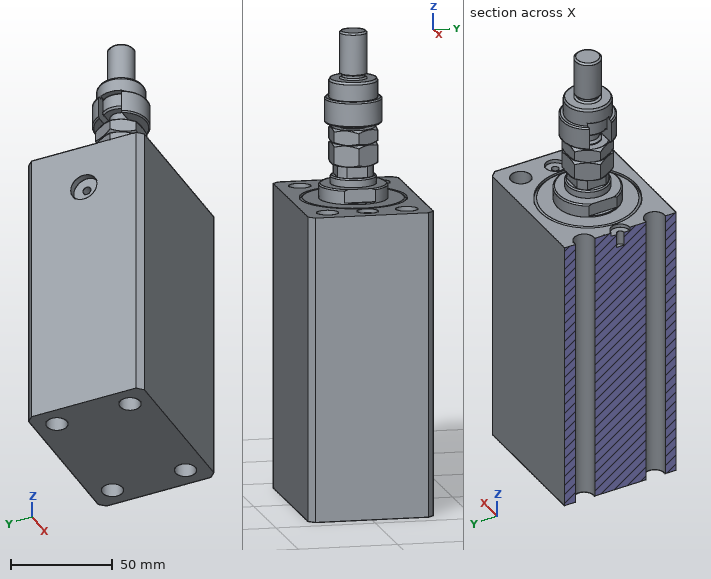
import cadquery as cq
import math

block_x = 85.0
block_y = 63.0
block_top = 153.0
corner_chamfer = 3.0

mount_hole_radius = 5.5
mount_hole_x = 31.5
mount_hole_y = 20.0

gland_groove_radius = 26.5
gland_groove_width = 1.5
gland_groove_depth = 1.5

vent_x = 32.5
vent_spotface_radius = 5.2
vent_spotface_depth = 2.0
vent_hole_radius = 2.0
vent_hole_depth = 9.5

port_z = 129.0
port_radius = 7.0
port_depth = 3.5
port_hole_radius = 2.1
port_hole_depth = 9.5

rod_radius = 17.0
rod_top = 160.5
rod_flat_half = 15.2
rod_foot_height = 0.7
rod_flat_bottom = block_top + rod_foot_height
collar_radius = 11.4
collar_top = 164.7
neck_square_half = 9.0
neck_corner_radius = 10.5
edge_chamfer = 0.7

hex_across_flats = 22.0
hex_face_radius = 10.7
hex_sides = 6
hex_chamfer_angle = 30
hex_bottom = 170.5
hex_height = 11.0
lock_nut_height = 7.5
hex_top = hex_bottom + hex_height
lock_nut_top = hex_top + lock_nut_height

thread_radius = 6.9
relief_radius = 5.7

pin_thread_top = 190.5
head_bottom = 196.2
head_top = 205.2
head_radius = 10.2
head_chamfer = 1.0

ring_bottom = 191.0
ring_top = 203.8
ring_radius = 14.2
cap_top = 213.3
cap_radius = 12.0
cap_chamfer_height = 1.2
slot_width = 12.3
relief_height = 2.5
relief_cone_height = 0.7
stud_chamfer = 1.0
total_height = 237.0


def cylinder(radius, bottom, top):
    """Upright cylinder on the Z axis."""
    return cq.Workplane("XY").workplane(offset=bottom).circle(radius).extrude(top - bottom)


def revolved(profile):
    """Turn a closed outline of (radius, height) points about the Z axis."""
    return cq.Workplane("XZ").polyline(profile).close().revolve(360, (0, 0), (0, 1))


def hexagon(bottom, top):
    """Hexagon with corners on the X axis and conical chamfers at both ends."""
    corner_diameter = hex_across_flats / math.cos(math.pi / hex_sides)
    corner_radius = corner_diameter / 2
    drop = (corner_radius - hex_face_radius) * math.tan(math.radians(hex_chamfer_angle))
    prism = (
        cq.Workplane("XY")
        .workplane(offset=bottom)
        .polygon(hex_sides, corner_diameter)
        .extrude(top - bottom)
    )
    envelope = revolved([
        (0, bottom),
        (hex_face_radius, bottom),
        (corner_radius, bottom + drop),
        (corner_radius, top - drop),
        (hex_face_radius, top),
        (0, top),
    ])
    return prism.intersect(envelope)


def make_housing():
    block = cq.Workplane("XY").rect(block_x, block_y).extrude(block_top)
    block = block.edges("|Z").chamfer(corner_chamfer)

    mount_holes = (
        cq.Workplane("XY")
        .rect(2 * mount_hole_x, 2 * mount_hole_y, forConstruction=True)
        .vertices()
        .circle(mount_hole_radius)
        .extrude(block_top)
    )
    block = block.cut(mount_holes)

    groove = revolved([
        (gland_groove_radius - gland_groove_width, block_top),
        (gland_groove_radius, block_top),
        (gland_groove_radius, block_top - gland_groove_depth),
    ])
    block = block.cut(groove)

    for x in (-vent_x, vent_x):
        spotface = cylinder(vent_spotface_radius, block_top - vent_spotface_depth, block_top)
        drill = cylinder(vent_hole_radius, block_top - vent_hole_depth, block_top)
        block = block.cut(spotface.union(drill).translate((x, 0, 0)))

    port_face = cq.Workplane("YZ", origin=(-block_x / 2, 0, port_z))
    block = block.cut(port_face.circle(port_radius).extrude(port_depth))
    return block.cut(port_face.circle(port_hole_radius).extrude(port_hole_depth))


def make_rod():
    rod = cylinder(rod_radius, block_top, rod_top).faces(">Z").edges().chamfer(edge_chamfer)
    flat_limits = (
        cq.Workplane("XY")
        .workplane(offset=rod_flat_bottom)
        .rect(2 * rod_flat_half, 2 * rod_radius)
        .extrude(rod_top - rod_flat_bottom)
    )
    foot = cylinder(rod_radius, block_top, rod_flat_bottom)
    rod = rod.intersect(flat_limits.union(foot))

    collar = cylinder(collar_radius, rod_top, collar_top).faces(">Z").edges().chamfer(edge_chamfer)

    neck_height = hex_bottom - collar_top
    square = (
        cq.Workplane("XY")
        .workplane(offset=collar_top)
        .rect(2 * neck_square_half, 2 * neck_square_half)
        .extrude(neck_height)
    )
    neck = square.intersect(cylinder(neck_corner_radius, collar_top, hex_bottom))

    rod = rod.union(collar).union(neck).union(hexagon(hex_bottom, hex_top))
    return rod.cut(cylinder(thread_radius, hex_bottom, hex_top))


def make_lock_nut():
    bore = cylinder(thread_radius, hex_top, lock_nut_top)
    return hexagon(hex_top, lock_nut_top).cut(bore)


def make_pin():
    head = cylinder(head_radius, head_bottom, head_top).faces("<Z or >Z").edges().chamfer(head_chamfer)
    neck = cylinder(relief_radius, pin_thread_top, head_bottom)
    thread = cylinder(thread_radius, hex_bottom, pin_thread_top)
    thread = thread.faces(">Z").edges().chamfer(thread_radius - relief_radius)
    return thread.union(neck).union(head)


def make_socket():
    ring = cylinder(ring_radius, ring_bottom, ring_top).faces("<Z or >Z").edges().chamfer(edge_chamfer)
    cap = revolved([
        (0, ring_top),
        (cap_radius, ring_top),
        (cap_radius, cap_top - cap_chamfer_height),
        (cap_radius - edge_chamfer, cap_top),
        (0, cap_top),
    ])

    thread_bottom = cap_top + relief_height
    stud = revolved([
        (0, cap_top),
        (thread_radius, cap_top),
        (relief_radius, cap_top + relief_cone_height),
        (relief_radius, thread_bottom - relief_cone_height),
        (thread_radius, thread_bottom),
        (thread_radius, total_height - stud_chamfer),
        (thread_radius - stud_chamfer, total_height),
        (0, total_height),
    ])
    socket = ring.union(cap).union(stud)

    slot_height = head_top - ring_bottom
    slot = (
        cq.Workplane("XY")
        .workplane(offset=ring_bottom)
        .center(-ring_radius / 2, 0)
        .rect(ring_radius, slot_width)
        .extrude(slot_height)
        .union(cylinder(slot_width / 2, ring_bottom, head_top))
    )
    pocket = cylinder(head_radius, head_bottom, head_top)
    return socket.cut(slot).cut(pocket)


housing = make_housing()
rod = make_rod()
lock_nut = make_lock_nut()
pin = make_pin()
socket = make_socket()

result = cq.Compound.makeCompound([
    housing.val(),
    rod.val(),
    lock_nut.val(),
    pin.val(),
    socket.val(),
])